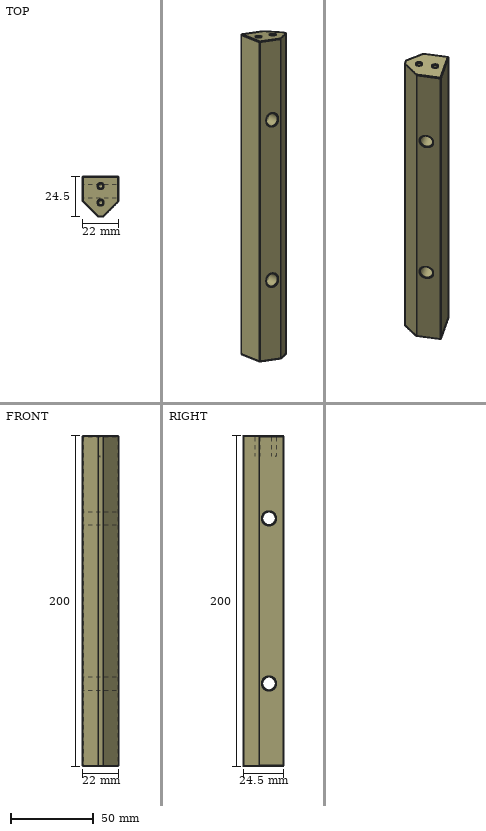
import cadquery as cq
import math

width = 22.0
depth = 24.5
length = 200.0
side_depth = 15.0
half_width = width / 2
tip_half_width = half_width - (depth - side_depth)
edge_chamfer = 0.5

cross_hole_diameter = 8.0
cross_hole_chamfer = 0.4
cross_hole_setback = 9.0
cross_hole_pitch = 100.0

end_hole_diameter = 3.0
end_hole_chamfer = 0.5
end_hole_depth = 12.0
end_hole_setbacks = (6.0, 16.0)
drill_point_angle = 118.0


def make_bar():
    """Bar with its back face at y = 0 and its nose toward -Y, chamfered at the back and sides."""
    outline = [
        (-half_width, 0),
        (half_width, 0),
        (half_width, -side_depth),
        (tip_half_width, -depth),
        (-tip_half_width, -depth),
        (-half_width, -side_depth),
    ]
    bar = cq.Workplane("XY").polyline(outline).close().extrude(length)
    back_edges = bar.faces(">Y").edges().vals()
    side_end_edges = bar.faces("<X or >X").edges("|Y").vals()
    return bar.newObject(back_edges + side_end_edges).chamfer(edge_chamfer)


def make_drill(start, direction, diameter, drilled_depth, chamfer):
    """Cylinder running from start along direction, with a 45 degree countersink at its mouth."""
    radius = diameter / 2
    shank = cq.Solid.makeCylinder(radius, drilled_depth, start, direction)
    countersink = cq.Solid.makeCone(radius + chamfer, radius, chamfer, start, direction)
    return shank.fuse(countersink)


def cut_cross_holes(body):
    """Through holes, each drilled from both sides to meet in the middle."""
    for z_offset in (-cross_hole_pitch / 2, cross_hole_pitch / 2):
        for side in (-1, 1):
            start = cq.Vector(side * half_width, -cross_hole_setback, length / 2 + z_offset)
            inward = cq.Vector(-side, 0, 0)
            drill = make_drill(start, inward, cross_hole_diameter, half_width, cross_hole_chamfer)
            body = body.cut(cq.Workplane(drill))
    return body


def cut_end_holes(body):
    """Blind holes that end in a conical drill point."""
    radius = end_hole_diameter / 2
    point_length = radius / math.tan(math.radians(drill_point_angle / 2))
    down = cq.Vector(0, 0, -1)
    for setback in end_hole_setbacks:
        mouth = cq.Vector(0, -setback, length)
        floor = mouth + down * end_hole_depth
        drill = make_drill(mouth, down, end_hole_diameter, end_hole_depth, end_hole_chamfer)
        point = cq.Solid.makeCone(radius, 0, point_length, floor, down)
        body = body.cut(cq.Workplane(drill.fuse(point)))
    return body


bar = make_bar()
bar_with_cross_holes = cut_cross_holes(bar)
result = cut_end_holes(bar_with_cross_holes).solids()